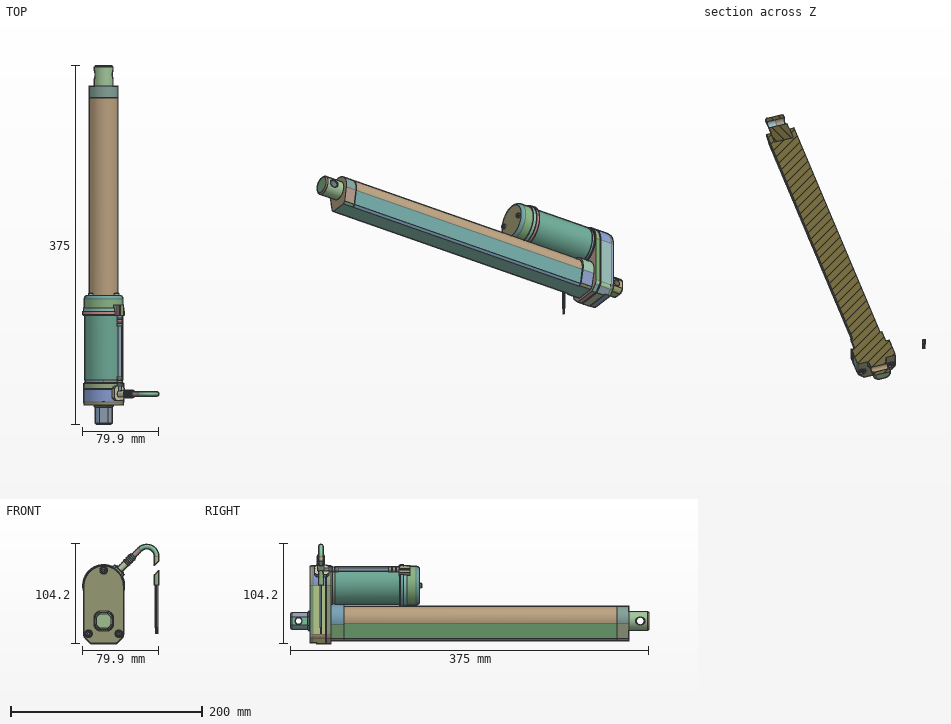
import cadquery as cq
import math


total_length = 375.0
rear_clevis_length = 20.2
rod_end_y = total_length - rear_clevis_length
spindle_z = -0.3
motor_axis_z = 36.7

gearbox_radius = 21.0
gearbox_length = 22.4
gearbox_bottom_z = -24.24
gearbox_corner_cut = 7.5
gearbox_corner_radius = 6.0
gearbox_rim_length = 3.2
gearbox_rim_inset = 0.5
gearbox_seam_y = 16.3
gearbox_seam_width = 1.0
gearbox_seam_depth = 0.4
gearbox_relief_length = 7.1
gearbox_relief_height = 1.1

screw_recess_diameter = 8.0
screw_recess_depth = 3.5
screw_head_diameter = 6.8
screw_head_height = 3.0
screw_head_chamfer = 0.8
screw_socket_sides = 6
screw_socket_width = 2.5
screw_socket_depth = 1.5
lower_screw_x = 15.8
lower_screw_z = -13.6
upper_screw_z = motor_axis_z + 16.0

clevis_width = 18.0
clevis_diameter = 20.0
clevis_base_scale = 1.15
clevis_base_length = 2.4
clevis_end_chamfer = 1.5
clevis_hole_diameter = 6.8
clevis_hole_y = -11.8

motor_diameter = 40.0
motor_neck_diameter = 39.0
motor_flange_end_y = gearbox_length + 1.2
motor_can_y = 26.3
motor_ring_y = 93.7
motor_ring_diameter = 44.0
motor_ring_length = 4.0
motor_ring_chamfer = 0.9
motor_step_diameter = 42.4
motor_step_length = 3.8
motor_cap_diameter = 40.7
motor_cap_end_y = 114.8
motor_cap_fillet = 4.4
motor_cap_trim = 0.4
terminal_diameter = 5.2
terminal_height = 2.4
terminal_chamfer = 0.8
terminal_x = 13.5

tube_radius = 15.25
tube_taper = 11.3
sleeve_radius = 17.2
sleeve_taper = 14.0
sleeve_end_y = 36.0
tube_shoulder_z = -18.7
tube_bottom_z = -21.0
tube_end_y = 333.5
tube_cap_length = 12.5
tube_cap_line_depth = 0.2
tube_cap_line_width = 0.4

rod_diameter = 20.0
rod_chamfer = 1.5
rod_hole_diameter = 8.0
rod_hole_countersink = 1.0
rod_hole_y = 345.5

cable_angle = 45.0
box_y = 12.4
box_length = 15.0
box_width = 14.5
box_corner_cut = 2.5
box_top_radius = 23.4
clip_y = 99.1
clip_length = 11.2
clip_width = 9.8
clip_top_radius = 24.5
clip_slot_width = 1.5
clip_slot_depth = 1.0
link_diameter = 3.6
link_radius = 23.7
link_grommet_diameter = 5.2
link_grommet_groove = 1.5
link_grommet_rings = 3
clip_grommet_end_y = 82.5
box_grommet_end_y = 29.5

cable_diameter = 5.0
cable_y = 11.6
cable_bend_radius = 10.3
cable_drop_x = 55.35
cable_cut_z = 60.0
gland_diameter = 6.8
gland_rib_diameter = 8.0
gland_ribs_start = 33.0
gland_ribs_end = 44.0
gland_rib_count = 3

tail_top_z = 50.1
tail_bottom_z = 37.3
wire_diameter = 1.5
wire_spacing = 1.7
wire_end_z = -6.9
conductor_diameter = 1.0
conductor_end_z = -13.4


def cylinder_y(diameter, y_start, y_end, x=0.0, z=0.0):
    """Cylinder along +Y between two Y positions."""
    start = cq.Vector(x, y_start, z)
    along_y = cq.Vector(0, 1, 0)
    return cq.Workplane(cq.Solid.makeCylinder(diameter / 2, y_end - y_start, start, along_y))


def xz_plane(y):
    """Plane at the given Y, with local x along -X, local y along +Z and extrusion toward +Y."""
    return cq.Workplane(cq.Plane(origin=(0, y, 0), xDir=(-1, 0, 0), normal=(0, 1, 0)))


def gearbox_outline(y):
    """Arch around the motor axis with cut lower corners."""
    r = gearbox_radius
    return (
        xz_plane(y)
        .moveTo(-r, motor_axis_z)
        .threePointArc((0, motor_axis_z + r), (r, motor_axis_z))
        .lineTo(r, gearbox_bottom_z + gearbox_corner_cut)
        .lineTo(r - gearbox_corner_cut, gearbox_bottom_z)
        .lineTo(gearbox_corner_cut - r, gearbox_bottom_z)
        .lineTo(-r, gearbox_bottom_z + gearbox_corner_cut)
        .close()
    )


def gearbox_block():
    block = gearbox_outline(0).extrude(gearbox_length)
    side_corner_z = gearbox_bottom_z + gearbox_corner_cut
    for x in (-gearbox_radius, gearbox_radius):
        corner = cq.selectors.NearestToPointSelector((x, gearbox_length / 2, side_corner_z))
        block = block.edges("|Y").edges(corner).fillet(gearbox_corner_radius)
    rim = block.faces("<Y").edges().vals()
    block = cq.Workplane(block.val().chamfer(gearbox_rim_inset, gearbox_rim_length, rim))
    relief = cq.Workplane().box(
        2 * gearbox_radius, gearbox_relief_length, gearbox_relief_height, centered=(True, False, False)
    ).translate((0, 0, gearbox_bottom_z))
    seam = gearbox_outline(gearbox_seam_y).extrude(gearbox_seam_width)
    seam = seam.cut(
        gearbox_outline(gearbox_seam_y).offset2D(-gearbox_seam_depth).extrude(gearbox_seam_width)
    )
    return block.cut(relief).cut(seam)


def with_screws(block):
    """Three recessed socket screws in the rear face."""
    places = [(-lower_screw_x, lower_screw_z), (lower_screw_x, lower_screw_z), (0, upper_screw_z)]
    head_top_y = screw_recess_depth - screw_head_height
    for x, z in places:
        block = block.cut(cylinder_y(screw_recess_diameter, 0, screw_recess_depth, x, z))
        head = cylinder_y(screw_head_diameter, head_top_y, screw_recess_depth, x, z)
        block = block.union(head.faces("<Y").edges().chamfer(screw_head_chamfer))
        socket = xz_plane(head_top_y).center(-x, z).polygon(screw_socket_sides, screw_socket_width)
        block = block.cut(socket.extrude(screw_socket_depth))
    return block


def clevis_blank(scale, length, chamfer):
    """Round bar with four flats and a chamfered end, reaching back from the gearbox."""
    width = clevis_width * scale
    bar = cylinder_y(clevis_diameter * scale, -length, 0, 0, spindle_z)
    flats = cq.Workplane().box(width, 2 * length, width).translate((0, 0, spindle_z))
    bar = bar.faces("<Y").edges().chamfer(chamfer)
    return bar.intersect(flats.faces("<Y").edges().chamfer(chamfer))


def rear_clevis():
    shank = clevis_blank(1, rear_clevis_length, clevis_end_chamfer)
    base_flare = clevis_width * (clevis_base_scale - 1) / 2
    base = clevis_blank(clevis_base_scale, clevis_base_length, base_flare)
    hole = cq.Workplane("YZ").center(clevis_hole_y, spindle_z).circle(clevis_hole_diameter / 2)
    return shank.union(base).cut(hole.extrude(clevis_diameter, both=True))


def motor():
    ring_end_y = motor_ring_y + motor_ring_length
    step_end_y = ring_end_y + motor_step_length
    sections = [
        (motor_diameter, gearbox_length, motor_flange_end_y),
        (motor_neck_diameter, motor_flange_end_y, motor_can_y),
        (motor_diameter, motor_can_y, ring_end_y),
        (motor_step_diameter, ring_end_y, step_end_y),
    ]
    round_end_y = motor_cap_end_y + motor_cap_trim
    body = cylinder_y(motor_cap_diameter, step_end_y, round_end_y, 0, motor_axis_z)
    body = body.faces(">Y").edges().fillet(motor_cap_fillet)
    body = body.cut(cylinder_y(motor_cap_diameter, motor_cap_end_y, round_end_y, 0, motor_axis_z))
    for diameter, y_start, y_end in sections:
        body = body.union(cylinder_y(diameter, y_start, y_end, 0, motor_axis_z))
    ring = cylinder_y(motor_ring_diameter, motor_ring_y, ring_end_y, 0, motor_axis_z)
    body = body.union(ring.faces("<Y").edges().chamfer(motor_ring_chamfer))
    for x in (-terminal_x, terminal_x):
        terminal_end_y = motor_cap_end_y + terminal_height
        terminal = cylinder_y(terminal_diameter, ring_end_y, terminal_end_y, x, motor_axis_z)
        body = body.union(terminal.faces(">Y").edges().chamfer(terminal_chamfer))
    return body


def tube_section(radius, taper, y_start, y_end):
    """Round top running tangent into sides that taper inward, with a narrow sloped foot."""
    angle = math.radians(taper)
    side_x = radius * math.cos(angle)
    side_z = -radius * math.sin(angle)
    shoulder_x = side_x - (side_z - tube_shoulder_z) * math.tan(angle)
    bottom_x = shoulder_x - (tube_shoulder_z - tube_bottom_z)
    return (
        xz_plane(y_start)
        .moveTo(-side_x, side_z)
        .threePointArc((0, radius), (side_x, side_z))
        .lineTo(shoulder_x, tube_shoulder_z)
        .lineTo(bottom_x, tube_bottom_z)
        .lineTo(-bottom_x, tube_bottom_z)
        .lineTo(-shoulder_x, tube_shoulder_z)
        .close()
        .extrude(y_end - y_start)
    )


def outer_tube():
    cap_y = tube_end_y - tube_cap_length
    tube = tube_section(tube_radius, tube_taper, sleeve_end_y, cap_y)
    tube = tube.union(tube_section(sleeve_radius, sleeve_taper, gearbox_length, sleeve_end_y))
    tube = tube.union(
        tube_section(tube_radius - tube_cap_line_depth, tube_taper, cap_y, cap_y + tube_cap_line_width)
    )
    return tube.union(tube_section(tube_radius, tube_taper, cap_y + tube_cap_line_width, tube_end_y))


def on_cable_radius(shape):
    """Turn a shape built straight above the motor axis onto the cable's radius."""
    return shape.rotate((0, 0, 0), (0, 1, 0), cable_angle).translate((0, 0, motor_axis_z))


def cable_box():
    box = cq.Workplane().box(box_width, box_length, box_top_radius, centered=(True, True, False))
    return on_cable_radius(box.edges("|Z").chamfer(box_corner_cut).translate((0, box_y, 0)))


def cable_clip():
    clip = cq.Workplane().box(clip_width, clip_length, clip_top_radius, centered=(True, True, False))
    slot = cq.Workplane().box(clip_slot_width, clip_length, 2 * clip_slot_depth)
    clip = clip.cut(slot.translate((0, 0, clip_top_radius)))
    return on_cable_radius(clip.translate((0, clip_y, 0)))


def link_cable():
    """Cable beside the motor, with a grooved grommet at each end."""
    clip_rear_y = clip_y - clip_length / 2
    box_front_y = box_y + box_length / 2
    link = cylinder_y(link_diameter, box_y, clip_rear_y, 0, link_radius)
    for y_start, y_end in ((clip_grommet_end_y, clip_rear_y), (box_front_y, box_grommet_end_y)):
        ring_pitch = (y_end - y_start + link_grommet_groove) / link_grommet_rings
        ring_length = ring_pitch - link_grommet_groove
        for index in range(link_grommet_rings):
            y = y_start + index * ring_pitch
            link = link.union(cylinder_y(link_grommet_diameter, y, y + ring_length, 0, link_radius))
    return on_cable_radius(link)


bend_x = cable_drop_x - cable_bend_radius
bend_z = motor_axis_z + bend_x - cable_bend_radius * math.sqrt(2)
bend_start_radius = bend_x * math.sqrt(2) - cable_bend_radius


def slant_cutter(z, side):
    """Half-space block above (side 1) or below (side -1) a 45 degree plane across the cable."""
    size = 4 * cable_diameter
    block = cq.Workplane().box(size, size, size).translate((0, 0, side * size / 2))
    return block.rotate((0, 0, 0), (0, 1, 0), -cable_angle).translate((cable_drop_x, cable_y, z))


def cable_and_gland():
    def radial_cylinder(diameter, start, end):
        return cq.Workplane().circle(diameter / 2).extrude(end - start).translate((0, cable_y, start))

    straight = radial_cylinder(cable_diameter, 0, bend_start_radius)
    straight = straight.union(radial_cylinder(gland_diameter, 0, gland_ribs_end))
    rib_pitch = (gland_ribs_end - gland_ribs_start) / gland_rib_count
    for index in range(gland_rib_count):
        rib_start = gland_ribs_start + index * rib_pitch
        rib_end = rib_start + rib_pitch / 2
        straight = straight.union(radial_cylinder(gland_rib_diameter, rib_start, rib_end))

    diagonal = cable_bend_radius / math.sqrt(2)
    bend_path = cq.Workplane("XZ", origin=(0, cable_y, 0)).moveTo(cable_drop_x, bend_z).threePointArc(
        (bend_x + diagonal, bend_z + diagonal), (bend_x - diagonal, bend_z + diagonal)
    )
    drop_end = cq.Workplane("XY", origin=(cable_drop_x, cable_y, bend_z))
    bend = drop_end.circle(cable_diameter / 2).sweep(bend_path)
    drop_length = bend_z - cable_cut_z + cable_diameter
    drop = drop_end.circle(cable_diameter / 2).extrude(-drop_length).cut(slant_cutter(cable_cut_z, -1))
    return on_cable_radius(straight).union(bend).union(drop)


def cable_tail():
    sheath = (
        cq.Workplane("XY", origin=(cable_drop_x, cable_y, tail_bottom_z))
        .circle(cable_diameter / 2)
        .extrude(tail_top_z - tail_bottom_z + cable_diameter)
        .cut(slant_cutter(tail_top_z, 1))
    )
    for offset in (-wire_spacing / 2, wire_spacing / 2):
        for diameter, end_z in ((wire_diameter, wire_end_z), (conductor_diameter, conductor_end_z)):
            wire = cq.Workplane("XY", origin=(cable_drop_x + offset, cable_y, end_z)).circle(diameter / 2)
            sheath = sheath.union(wire.extrude(tail_bottom_z - end_z))
    return sheath


def push_rod():
    rod = cylinder_y(rod_diameter, tube_end_y - tube_cap_length, rod_end_y, 0, spindle_z)
    rod = rod.faces(">Y").edges().chamfer(rod_chamfer)
    hole = cq.Workplane("YZ").center(rod_hole_y, spindle_z).circle(rod_hole_diameter / 2)
    rod = rod.cut(hole.extrude(rod_diameter, both=True))
    for side in (-1, 1):
        sink = cq.Solid.makeCone(
            rod_hole_diameter / 2,
            rod_hole_diameter / 2 + rod_hole_countersink,
            rod_hole_countersink,
            cq.Vector(side * (rod_diameter / 2 - rod_hole_countersink), rod_hole_y, spindle_z),
            cq.Vector(side, 0, 0),
        )
        rod = rod.cut(cq.Workplane(sink))
    return rod


def actuator_body():
    body = with_screws(gearbox_block())
    fittings = (cable_box(), cable_clip(), link_cable(), cable_and_gland())
    for piece in (rear_clevis(), motor(), outer_tube(), *fittings):
        body = body.union(piece)
    return body.cut(cylinder_y(rod_diameter, tube_end_y - tube_cap_length, tube_end_y, 0, spindle_z))


actuator = actuator_body().solids()
rod = push_rod().solids()
tail = cable_tail().solids()

result = cq.Compound.makeCompound([actuator.val(), rod.val(), tail.val()])